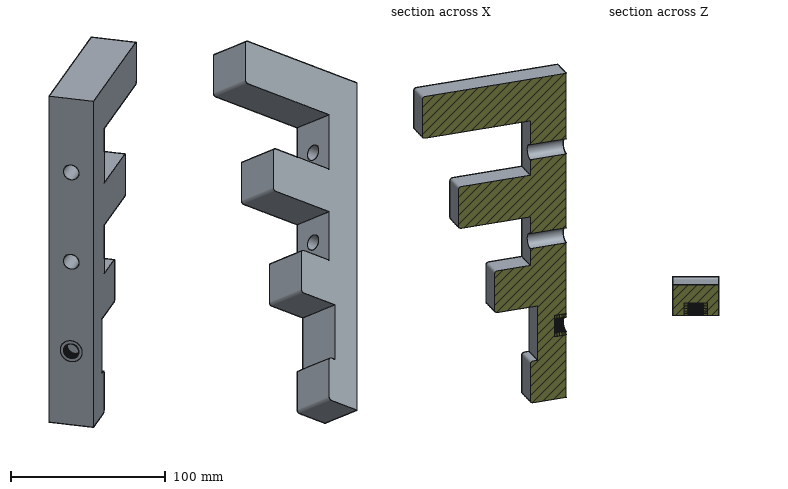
import cadquery as cq

width = 30.0
length = 230.0
back_thickness = 25.0
relief_thickness = 20.0
arm_height = width
middle_gap = 34.0
arm_reaches = [back_thickness, 50.0, 75.0, 100.0]
tip_radius = 2.0

hole_diameter = 10.4
hole_spacing = 63.0
middle_hole_z = length / 2

ring_count = 5
ring_outer_diameter = 14.7
ring_bore_diameter = 9.5
ring_thickness = 1.5
bore_chamfer = 0.5
ring_z = middle_hole_z - hole_spacing

arm_bottoms = [
    0,
    middle_hole_z - middle_gap / 2 - arm_height,
    middle_hole_z + middle_gap / 2,
    length - arm_height,
]


def block(depth, bottom, height):
    """Full-width block reaching from the mounting face to y = depth."""
    box = cq.Workplane("XY").box(width, depth, height, centered=(True, False, False))
    return box.translate((0, 0, bottom))


def cylinder(diameter, start, depth, z):
    """Cylinder running along +Y from y = start, centred on the bar's width."""
    return cq.Workplane("XZ", origin=(0, start, z)).circle(diameter / 2).extrude(-depth)


def make_arm(reach, bottom):
    """Arm with its top and bottom tip edges rounded."""
    return block(reach, bottom, arm_height).faces(">Y").edges("|X").fillet(tip_radius)


def make_bar():
    """Back, arms, two through holes and the blind pocket for the ring stack."""
    relief_top = arm_bottoms[1]
    bar = block(relief_thickness, 0, relief_top)
    bar = bar.union(block(back_thickness, relief_top, length - arm_height - relief_top))
    for reach, bottom in zip(arm_reaches, arm_bottoms):
        bar = bar.union(make_arm(reach, bottom))
    for z in (middle_hole_z, middle_hole_z + hole_spacing):
        bar = bar.cut(cylinder(hole_diameter, 0, back_thickness, z))
    pocket_depth = ring_count * ring_thickness
    return bar.cut(cylinder(ring_outer_diameter, 0, pocket_depth, ring_z))


def make_ring(start):
    """Flat ring with both rims of its bore chamfered."""
    ring = cylinder(ring_outer_diameter, start, ring_thickness, ring_z)
    ring = ring.cut(cylinder(ring_bore_diameter, start, ring_thickness, ring_z))
    bore_rims = ring.edges(cq.selectors.RadiusNthSelector(0))
    return bore_rims.chamfer(bore_chamfer)


comb_bar = make_bar()
rings = [make_ring(index * ring_thickness) for index in range(ring_count)]

result = cq.Compound.makeCompound([comb_bar.val(), *[ring.val() for ring in rings]])